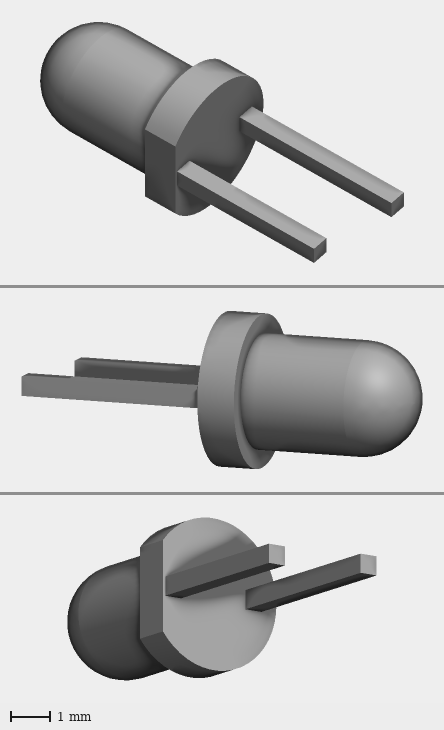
import cadquery as cq

total_length = 10.3
lens_diameter = 3.0
flange_diameter = 4.0
flange_thickness = 1.0
flat_offset = 1.6
lead_width = 0.5
lead_pitch = 2.54
long_lead_length = 5.0
short_lead_length = 4.5

housing_length = total_length - long_lead_length
lens_radius = lens_diameter / 2
flange_radius = flange_diameter / 2


def make_housing():
    """Domed lens and flange, revolved about X, with one flat cut on the flange."""
    dome_base_x = lens_radius - housing_length
    dome_tip_x = -housing_length
    lens = (
        cq.Workplane("XY")
        .moveTo(dome_tip_x, 0)
        .radiusArc((dome_base_x, lens_radius), lens_radius)
        .lineTo(-flange_thickness, lens_radius)
        .lineTo(-flange_thickness, 0)
        .close()
        .revolve(360, (0, 0, 0), (1, 0, 0))
    )
    flange = cq.Workplane("YZ").circle(flange_radius).extrude(-flange_thickness)
    flat_keep = (
        cq.Workplane("YZ", origin=(0, -flat_offset, 0))
        .rect(flat_offset + flange_radius, flange_diameter, centered=(False, True))
        .extrude(-flange_thickness)
    )
    return lens.union(flange.intersect(flat_keep))


def make_lead(length, y):
    """Square lead standing on the back face of the flange."""
    return cq.Workplane("YZ").center(y, 0).rect(lead_width, lead_width).extrude(length)


housing = make_housing()

lead_layout = [
    (long_lead_length, lead_pitch / 2),
    (short_lead_length, -lead_pitch / 2),
]
leads = [make_lead(length, y) for length, y in lead_layout]

result = cq.Compound.makeCompound([housing.val(), *[lead.val() for lead in leads]])